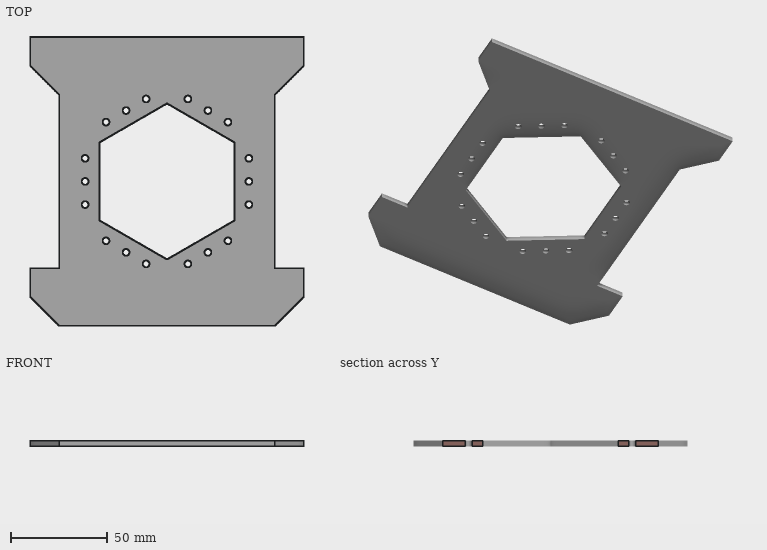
import cadquery as cq
import math

plate_length = 150.0
plate_width = 142.0
thickness = 3.0

tab_reach = 15.0
tab_edge = 15.0

window_across_flats = 70.0
side_count = 6

hole_diameter = 3.4
hole_spacing = 12.0
holes_per_side = 3
hole_row_margin = 7.5

half_length = plate_length / 2
half_width = plate_width / 2
half_body = half_width - tab_reach
tab_length = tab_edge + tab_reach
side_angle = 360.0 / side_count


def make_plate():
    """Plate outline: +Y tabs taper toward the body, -Y tabs taper toward the end."""
    right_side = [
        (half_body, -half_length),
        (half_width, -half_length + tab_reach),
        (half_width, -half_length + tab_length),
        (half_body, -half_length + tab_length),
        (half_body, half_length - tab_length),
        (half_width, half_length - tab_edge),
        (half_width, half_length),
    ]
    left_side = [(-x, y) for x, y in reversed(right_side)]
    return cq.Workplane("XY").polyline(right_side + left_side).close().extrude(thickness)


def make_window():
    """Hexagonal prism with corners on the Y axis."""
    across_corners = window_across_flats / math.cos(math.radians(side_angle / 2))
    prism = cq.Workplane("XY").polygon(side_count, across_corners).extrude(thickness)
    return prism.rotate((0, 0, 0), (0, 0, 1), side_angle / 2)


def hole_centers():
    """Centers of the hole rows, one row parallel to each window side."""
    row_distance = window_across_flats / 2 + hole_row_margin
    centers = []
    for side in range(side_count):
        angle = math.radians(side * side_angle)
        for index in range(holes_per_side):
            offset = (index - (holes_per_side - 1) / 2) * hole_spacing
            x = row_distance * math.cos(angle) - offset * math.sin(angle)
            y = row_distance * math.sin(angle) + offset * math.cos(angle)
            centers.append((x, y))
    return centers


def make_holes():
    """Through-hole cylinders around the window."""
    return cq.Workplane("XY").pushPoints(hole_centers()).circle(hole_diameter / 2).extrude(thickness)


result = make_plate().cut(make_window()).cut(make_holes())